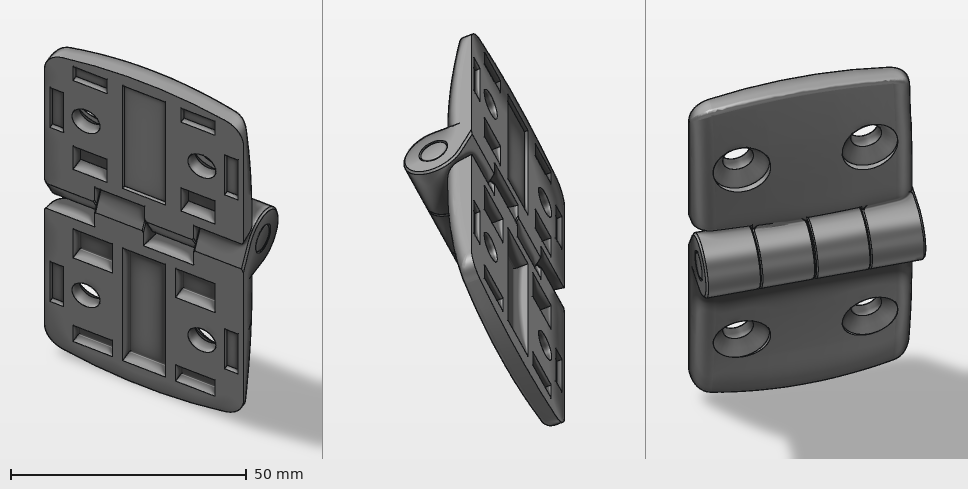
import cadquery as cq
import math


width = 48.0
half_width = width / 2
barrel_radius = 7.1
thickness = 15.9
face_y = barrel_radius - thickness

upper_end = 43.4
lower_end = 92 - upper_end
upper_hole_z = 24.9
lower_hole_z = 27.7
end_rise = 2.9
corner_radius = 5.5
back_height = 7.9
shoulder_height = 7.0
side_height = 2.8
side_radius = shoulder_height - side_height
back_bend_radius = 170.2
bend_before_hole = 15.6
bend_angle = 20
bend_allowance = 9.2
end_edge_radius = 1.2

knuckle_edge = 12
middle_gap = 0.3
inner_chamfer = 0.3
outer_chamfer = 0.5
root_radius = 0.8
face_gap_half = 1.6
notch_face_z = 6.0
notch_corner_radius = 0.7
notch_back_z = 7.9

pin_radius = 3.0
pin_end_radius = 0.4
pin_hole_chamfer = 0.3

screw_x = 14.0
screw_radius = 3.36
head_radius = 6.2
screw_land = 3.1
seat_half_angle = 45

channel_width = 10.3
slot_x = 21.1
slot_width = 3.2
slot_length = 12.05
slot_depth = 1.2
pad_outer_x = 17.1
shallow_depth = 0.8
upper_pad_depth = 3.4
upper_outer_pad_depth = 1.4
lower_depth = 3.2
lower_outer_pad_depth = 2.6
recess_fillet = 0.4


def box(x0, x1, y0, y1, z0, z1):
    return cq.Workplane("XY").box(x1 - x0, y1 - y0, z1 - z0, centered=False).translate((x0, y0, z0))


def back_section(z):
    """Cross-section of the plate with crowned back and rounded sides, running on below the face."""
    flat_x = half_width - side_radius
    arc_offset = side_radius * math.sqrt(0.5)
    side_y = face_y + side_height
    shoulder_y = face_y + shoulder_height
    return (
        cq.Workplane("XY", origin=(0, 0, z))
        .moveTo(-half_width, face_y - bend_allowance)
        .lineTo(-half_width, side_y)
        .threePointArc((-flat_x - arc_offset, side_y + arc_offset), (-flat_x, shoulder_y))
        .threePointArc((0, face_y + back_height), (flat_x, shoulder_y))
        .threePointArc((flat_x + arc_offset, side_y + arc_offset), (half_width, side_y))
        .lineTo(half_width, face_y - bend_allowance)
        .close()
    )


def leaf_outline(end_z):
    """Leaf seen square to its face, as a solid that starts at the mounting face."""
    corner_z = end_z - end_rise
    return (
        cq.Workplane("XZ", origin=(0, face_y, 0))
        .moveTo(-half_width, notch_face_z)
        .lineTo(-half_width, corner_z)
        .threePointArc((0, end_z), (half_width, corner_z))
        .lineTo(half_width, notch_face_z)
        .close()
        .extrude(-thickness)
        .edges("|Y")
        .edges(">Z")
        .fillet(corner_radius)
    )


def plate(end_z, hole_z):
    """Leaf plate, straight near the pin and then bent toward the mounting face."""
    bend_z = hole_z - bend_before_hole
    bend_centre_y = face_y + back_height - back_bend_radius
    straight = back_section(notch_face_z).extrude(bend_z - notch_face_z)
    bent = back_section(bend_z).revolve(bend_angle, (0, bend_centre_y, 0), (1, bend_centre_y, 0))
    body = straight.union(bent).intersect(leaf_outline(end_z))
    tip_edge = cq.selectors.NearestToPointSelector((0, face_y + back_height / 2, end_z))
    return body.edges(tip_edge).fillet(end_edge_radius)


def knuckle(x0, x1, chamfer0, chamfer1):
    """Barrel with a flat top and a flank that runs tangent to the barrel from the mounting face."""
    edge_distance = math.hypot(face_y, face_gap_half)
    edge_angle = math.atan2(face_gap_half, face_y)
    tangent_angle = edge_angle + math.acos(barrel_radius / edge_distance)
    tangent_y = barrel_radius * math.cos(tangent_angle)
    tangent_z = barrel_radius * math.sin(tangent_angle)
    arc_offset = barrel_radius * math.sqrt(0.5)
    body = (
        cq.Workplane("YZ", origin=(x0, 0, 0))
        .moveTo(face_y, face_gap_half)
        .lineTo(tangent_y, tangent_z)
        .threePointArc((arc_offset, -arc_offset), (0, barrel_radius))
        .lineTo(face_y, barrel_radius)
        .close()
        .extrude(x1 - x0)
    )
    body = body.faces("<X").edges("not <Y").chamfer(chamfer0)
    return body.faces(">X").edges("not <Y").chamfer(chamfer1)


def round_knuckle_roots(body):
    """Round the inside corners between the back of the plate and the flat tops of the knuckles."""
    tolerance = 0.01
    top_plane = cq.selectors.BoxSelector(
        (-half_width, face_y, barrel_radius - tolerance),
        (half_width, 0, barrel_radius + tolerance),
    )
    return body.edges("%CIRCLE").edges(top_plane).fillet(root_radius)


def knuckle_notch(x0, x1):
    """Room for a knuckle of the other leaf, with a sloping wall."""
    reach = 2 * barrel_radius
    slope = (notch_back_z - notch_face_z) / back_height
    return (
        cq.Workplane("YZ", origin=(x0, 0, 0))
        .moveTo(face_y, notch_face_z)
        .lineTo(face_y + reach, notch_face_z + slope * reach)
        .lineTo(face_y + reach, 0)
        .lineTo(face_y, 0)
        .close()
        .extrude(x1 - x0)
    )


def recess(x, z0, z1, size_x, depth, floor_fillet=0):
    """Rectangular recess in the mounting face, centred on x."""
    body = box(x - size_x / 2, x + size_x / 2, face_y, face_y + depth, z0, z1)
    if floor_fillet:
        body = body.faces(">Y").edges().fillet(floor_fillet)
    return body


def screw_hole(x, hole_z):
    """Through hole with a conical seat below a straight recess for the screw head."""
    seat_height = (head_radius - screw_radius) / math.tan(math.radians(seat_half_angle))
    return (
        cq.Workplane("XY", origin=(x, face_y, hole_z))
        .lineTo(screw_radius, 0)
        .lineTo(screw_radius, screw_land)
        .lineTo(head_radius, screw_land + seat_height)
        .lineTo(head_radius, thickness)
        .lineTo(0, thickness)
        .close()
        .revolve(360, (0, 0, 0), (0, 1, 0))
    )


def pin_rod():
    """Plain rod the size of the pin, over the full width."""
    return cq.Workplane("YZ", origin=(-half_width, 0, 0)).circle(pin_radius).extrude(width)


def bore_mouth():
    """Chamfer at the outer end of the pin bore."""
    return (
        cq.Workplane("YZ", origin=(-half_width, 0, 0))
        .circle(pin_radius + pin_hole_chamfer)
        .workplane(offset=pin_hole_chamfer)
        .circle(pin_radius)
        .loft()
    )


def leaf(end_z, hole_z, recesses):
    """One leaf pointing up from the pin, with knuckles on the -X side of each half."""
    knuckle_spans = (
        (-half_width, -knuckle_edge, outer_chamfer, inner_chamfer),
        (middle_gap / 2, knuckle_edge, inner_chamfer, inner_chamfer),
    )
    notch_spans = ((-knuckle_edge, middle_gap / 2), (knuckle_edge, half_width))
    body = plate(end_z, hole_z)
    for x0, x1 in notch_spans:
        body = body.cut(knuckle_notch(x0, x1))
    notch_corner = cq.selectors.NearestToPointSelector((half_width, face_y + side_height / 2, notch_face_z))
    body = body.edges(notch_corner).fillet(notch_corner_radius)
    for span in knuckle_spans:
        body = body.union(knuckle(*span))
    body = round_knuckle_roots(body)
    for x in (-screw_x, screw_x):
        body = body.cut(screw_hole(x, hole_z))
    for x in (-slot_x, slot_x):
        body = body.cut(recess(x, hole_z - slot_length / 2, hole_z + slot_length / 2, slot_width, slot_depth))
    for pocket in recesses:
        body = body.cut(pocket)
    return body.cut(pin_rod()).cut(bore_mouth())


def leaf_recesses(start_z, end_z, inner_length, outer_length, pad_width, depths, floor_fillet=0):
    """Middle channel from start_z to end_z, and a pair of pads at each end beside it."""
    channel_depth, inner_depth, outer_depth = depths
    pad_x = pad_outer_x - pad_width / 2
    cuts = [recess(0, start_z, end_z, channel_width, channel_depth, floor_fillet)]
    for x in (-pad_x, pad_x):
        cuts.append(recess(x, start_z, start_z + inner_length, pad_width, inner_depth, floor_fillet))
        cuts.append(recess(x, end_z - outer_length, end_z, pad_width, outer_depth, floor_fillet))
    return cuts


upper_recesses = leaf_recesses(
    start_z=8.9,
    end_z=40.0,
    inner_length=7.0,
    outer_length=4.2,
    pad_width=8.2,
    depths=(shallow_depth, upper_pad_depth, upper_outer_pad_depth),
)
upper_leaf = leaf(upper_end, upper_hole_z, upper_recesses)

lower_recesses = leaf_recesses(
    start_z=9.1,
    end_z=43.15,
    inner_length=8.7,
    outer_length=4.9,
    pad_width=9.5,
    depths=(lower_depth, lower_depth, lower_outer_pad_depth),
    floor_fillet=recess_fillet,
)
lower_leaf = leaf(lower_end, lower_hole_z, lower_recesses).rotate((0, 0, 0), (0, 1, 0), 180)

pin = pin_rod().faces("<X or >X").edges().fillet(pin_end_radius)

result = cq.Compound.makeCompound([upper_leaf.solids().val(), lower_leaf.solids().val(), pin.solids().val()])